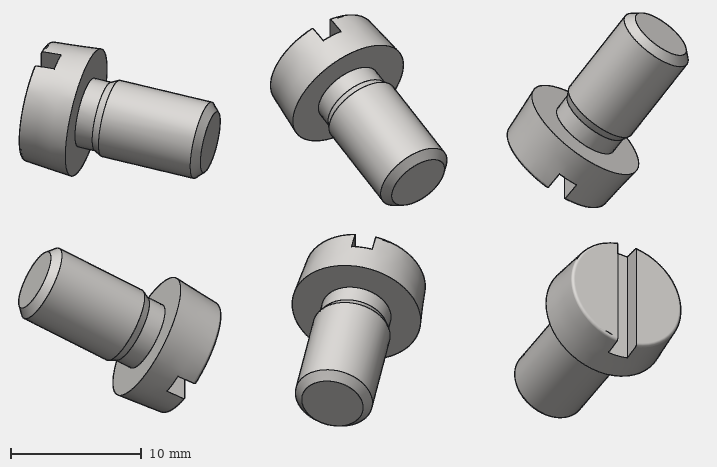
import cadquery as cq
import math


head_diameter = 10.0
head_height = 3.9
head_draft_angle = 5.0
head_edge_radius = 0.25
slot_width = 1.6
slot_depth = 1.6

shank_length = 10.0
thread_diameter = 6.0
neck_diameter = 5.39
neck_length = 1.387
thread_run_in = 0.613
tip_diameter = 4.773


def make_head():
    """Tapered head, narrowing toward its rounded outer face."""
    base_radius = head_diameter / 2
    face_radius = base_radius - head_height * math.tan(math.radians(head_draft_angle))
    head = (
        cq.Workplane("XY")
        .moveTo(0, 0)
        .lineTo(-head_height, 0)
        .lineTo(-head_height, face_radius)
        .lineTo(0, base_radius)
        .close()
        .revolve(360, (0, 0, 0), (1, 0, 0))
    )
    return head.faces("<X").edges().fillet(head_edge_radius)


def make_shank():
    """Undercut neck, conical run-in, full-diameter shank and 45 degree tip chamfer."""
    thread_start = neck_length + thread_run_in
    chamfer_length = (thread_diameter - tip_diameter) / 2
    chamfer_start = shank_length - chamfer_length
    return (
        cq.Workplane("XY")
        .moveTo(0, 0)
        .lineTo(0, neck_diameter / 2)
        .lineTo(neck_length, neck_diameter / 2)
        .lineTo(thread_start, thread_diameter / 2)
        .lineTo(chamfer_start, thread_diameter / 2)
        .lineTo(shank_length, tip_diameter / 2)
        .lineTo(shank_length, 0)
        .close()
        .revolve(360, (0, 0, 0), (1, 0, 0))
    )


def make_slot():
    """Screwdriver slot running along Z right across the head."""
    slot = cq.Workplane("XY").box(slot_depth, slot_width, head_diameter, centered=(False, True, True))
    return slot.translate((-head_height, 0, 0))


result = make_head().union(make_shank()).cut(make_slot())